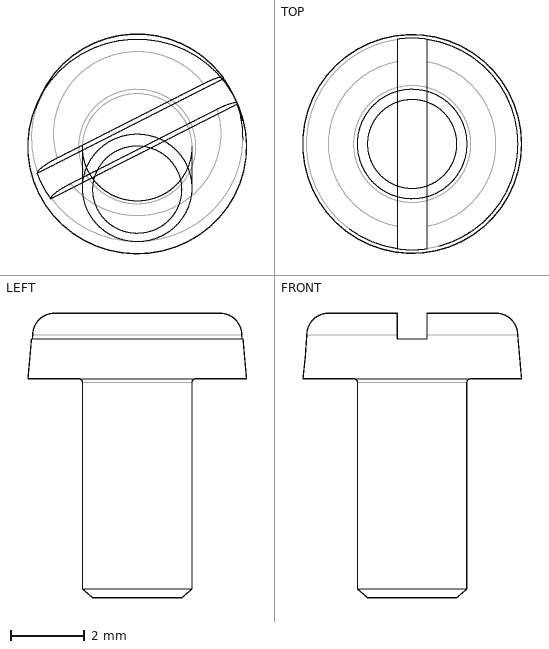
import cadquery as cq
import math

total_length = 7.8
head_diameter = 6.0
head_height = 1.8
head_taper = 5.0
head_edge_radius = 0.6
shank_diameter = 3.0
neck_fillet = 0.1
tip_chamfer_height = 0.24
tip_chamfer_width = 0.28
slot_width = 0.8
slot_depth = 0.71

head_radius = head_diameter / 2
shank_radius = shank_diameter / 2
head_base = total_length - head_height


def make_body():
    """Head and shank, revolved about Z from one half profile."""
    shoulder_height = total_length - head_edge_radius
    shoulder_radius = head_radius - (shoulder_height - head_base) * math.tan(math.radians(head_taper))
    flat_radius = shoulder_radius - head_edge_radius
    edge_mid = head_edge_radius * math.sqrt(0.5)

    neck_outer = shank_radius + neck_fillet
    neck_bottom = head_base - neck_fillet
    neck_mid = neck_fillet * math.sqrt(0.5)

    profile = (
        cq.Workplane("XZ")
        .lineTo(shank_radius - tip_chamfer_width, 0)
        .lineTo(shank_radius, tip_chamfer_height)
        .lineTo(shank_radius, neck_bottom)
        .threePointArc((neck_outer - neck_mid, neck_bottom + neck_mid), (neck_outer, head_base))
        .lineTo(head_radius, head_base)
        .lineTo(shoulder_radius, shoulder_height)
        .threePointArc((flat_radius + edge_mid, shoulder_height + edge_mid), (flat_radius, total_length))
        .lineTo(0, total_length)
        .close()
    )
    return profile.revolve(360, (0, 0, 0), (0, 1, 0))


def make_slot():
    """Straight driver slot running across the head along Y."""
    slot = cq.Workplane("XY").box(slot_width, head_diameter, slot_depth, centered=(True, True, False))
    return slot.translate((0, 0, total_length - slot_depth))


result = make_body().cut(make_slot())